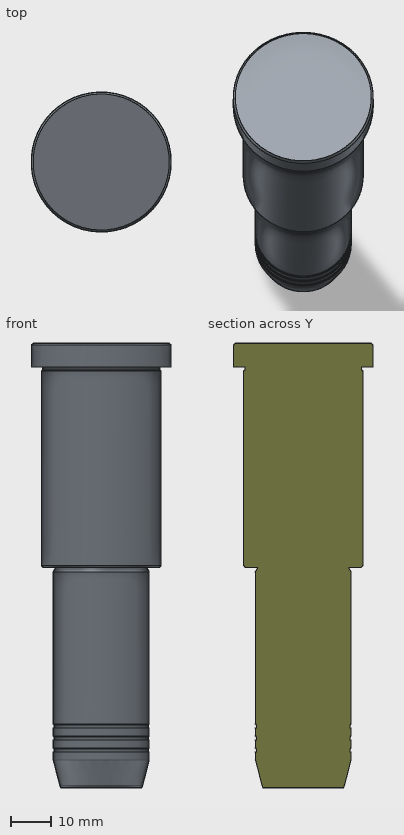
import cadquery as cq

total_length = 111.0
head_radius = 35.0 / 2
head_height = 6.0
body_radius = 30.0 / 2
stem_radius = 24.0 / 2
shoulder_z = 55.0
edge_chamfer = 0.5

relief_width = 1.0
head_relief_depth = 0.3
head_relief_slope_height = 0.3
shoulder_relief_depth = 0.5

groove_count = 3
groove_width = 1.0
groove_depth = 0.2
groove_slope_height = 0.3
groove_pitch = 3.0
first_groove_z = 9.0

nose_height = 7.0
nose_tip_radius = 10.3
nose_mid_z = 3.9
nose_mid_radius = 11.2
tip_chamfer_height = 0.5
tip_chamfer_width = 0.2


def revolved_pin():
    """Solid pin: head, body, stem and nose, with beveled edges."""
    head_base_z = total_length - head_height
    return (
        cq.Workplane("XZ")
        .moveTo(0, 0)
        .lineTo(nose_tip_radius - tip_chamfer_width, 0)
        .lineTo(nose_tip_radius, tip_chamfer_height)
        .threePointArc((nose_mid_radius, nose_mid_z), (stem_radius, nose_height))
        .lineTo(stem_radius, shoulder_z)
        .lineTo(body_radius - edge_chamfer, shoulder_z)
        .lineTo(body_radius, shoulder_z + edge_chamfer)
        .lineTo(body_radius, head_base_z)
        .lineTo(head_radius, head_base_z)
        .lineTo(head_radius, total_length - edge_chamfer)
        .lineTo(head_radius - edge_chamfer, total_length)
        .lineTo(0, total_length)
        .close()
        .revolve(360, (0, 0), (0, 1))
    )


def ring_groove(base_z):
    """Ring to cut from the stem, with a square lower side and a sloped upper side."""
    floor_radius = stem_radius - groove_depth
    top_z = base_z + groove_width
    return (
        cq.Workplane("XZ")
        .moveTo(stem_radius, base_z)
        .lineTo(floor_radius, base_z)
        .lineTo(floor_radius, top_z - groove_slope_height)
        .lineTo(stem_radius, top_z)
        .close()
        .revolve(360, (0, 0), (0, 1))
    )


def head_relief():
    """Ring to cut from the body below the head, with a sloped run-out at its lower side."""
    top_z = total_length - head_height
    base_z = top_z - relief_width
    floor_radius = body_radius - head_relief_depth
    return (
        cq.Workplane("XZ")
        .moveTo(body_radius, base_z)
        .lineTo(floor_radius, base_z + head_relief_slope_height)
        .lineTo(floor_radius, top_z)
        .lineTo(body_radius, top_z)
        .close()
        .revolve(360, (0, 0), (0, 1))
    )


def shoulder_relief():
    """Ring to cut from the stem below the shoulder; its floor is one cone, deepest at the top."""
    return (
        cq.Workplane("XZ")
        .moveTo(stem_radius, shoulder_z - relief_width)
        .lineTo(stem_radius - shoulder_relief_depth, shoulder_z)
        .lineTo(stem_radius, shoulder_z)
        .close()
        .revolve(360, (0, 0), (0, 1))
    )


result = revolved_pin()
result = result.cut(head_relief())
result = result.cut(shoulder_relief())
for index in range(groove_count):
    result = result.cut(ring_groove(first_groove_z + index * groove_pitch))